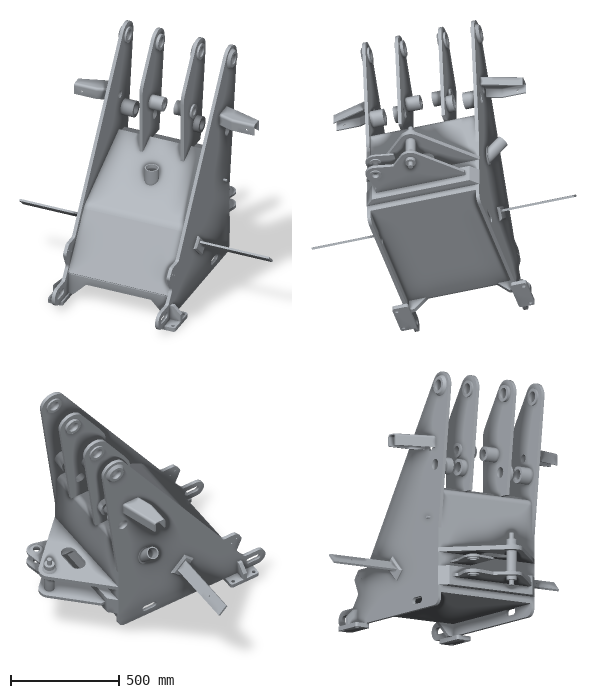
import cadquery as cq
import math

PLATE = 16.0
SHEET = 20.0
FOOT_TOP = SHEET
SIDE_INNER = 254.0
SIDE_OUTER = SIDE_INNER + PLATE
RIB_INNER = 96.0
RIB_OUTER = RIB_INNER + PLATE

EYE_Y, EYE_Z = 18.0, 1046.0
EYE_R = 65.0
EYE_BOSS_R = 39.0
EYE_WELD_R = 49.0
EYE_HOLE_R = 25.0
EYE_LONG = 14.0
EYE_SHORT = 9.0

BACK_BEND_Z = 382.0
SHOULDER = (-579.0, 279.0)
SHOULDER_R = 19.0
HORN = [(-648.0, 279.0), (-682.0, 239.0), (-650.0, 164.0), (-694.0, 106.0)]
HORN_R = 18.0
TOE_R = 43.0
TOE_Y = -767.0
HEEL_R = 38.0

SLOT_LENGTH, SLOT_HEIGHT = 78.0, 32.0
SLOT_Z = 65.0
SLOT_YS = (-172.0, -743.0)
PIN_HOLES = [(-651.0, 249.0), (-624.0, 231.0)]
PIN_HOLE_R = 4.0

RIB_FRONT_Y = -167.0
RIB_BOTTOM_Z = 552.0
RIB_BEND_R = 95.0

PIVOT_Y, PIVOT_Z = -27.0, 681.0
PIVOT_R, PIVOT_HOLE_R = 39.0, 25.0
PIVOT_SIDE_LENGTH = 62.0
PIVOT_RIB_LENGTH = 30.0
LINK_Y, LINK_Z = -67.0, 770.0
LINK_R, LINK_HOLE_R = 34.0, 19.0
LINK_LONG, LINK_SHORT = 66.0, 9.0

SHEET_TOP = (-82.0, 589.0)
SHEET_BEND = (-470.0, 397.0)
SHEET_END = (-658.0, 134.0)
SHEET_BEND_R = 76.0
SHEET_SLOPE = (SHEET_TOP[1] - SHEET_BEND[1]) / (SHEET_TOP[0] - SHEET_BEND[0])
WALL_TOP_Z = 569.0
WALL_FLANGE_Y = -88.0
WALL_BEND_R = 29.0
FLOOR_Z = 78.0
FLOOR_FRONT_Y = -640.0

FILLER_Y, FILLER_TOP_Z = -278.0, 552.0
FILLER_R, FILLER_BORE_R = 33.0, 28.0

FOOT_X_IN, FOOT_X_OUT = 246.0, 323.0
FOOT_Y_BACK, FOOT_Y_FRONT = -589.0, -742.0
FOOT_CORNER_R = 11.0
FOOT_HOLE_X = 306.0
FOOT_HOLE_YS = (-609.0, -723.0)
FOOT_HOLE_R = 9.0
CROSS_FRONT_Y = -655.0
CROSS_TOP, CROSS_ARCH = 125.0, 87.0
CROSS_LEG_X, CROSS_ARCH_X = 229.0, 164.0
WING_TOP, WING_SIDE_Z = 94.0, 54.0
WING_TOP_X = 285.0

BRACKET_TOP, BRACKET_BOTTOM = 818.0, 762.0
BRACKET_END_X = 456.0
BRACKET_BEND_X = 342.0
BRACKET_ROOT_BACK_Y, BRACKET_END_BACK_Y = -24.0, -81.0
BRACKET_FRONT_Y, BRACKET_ROOT_FRONT_Y = -139.0, -116.0
BRACKET_WALL = 6.0
BRACKET_EDGE_R = 13.0
BRACKET_HOLE = (417.0, 783.0)
BRACKET_HOLE_R = 5.0

BAR_END_X = 632.0
BAR_Y, BAR_Z = -344.0, 249.0
BAR_WIDTH, BAR_THICK = 58.0, 10.0
BAR_HOLE_X, BAR_HOLE_R = 520.0, 4.0
PAD_Y, PAD_Z = -350.0, 239.0
PAD_LENGTH, PAD_WIDTH, PAD_HEIGHT = 107.0, 65.0, 13.0
PAD_BEVEL = 8.0

SPOUT_Y = -144.0
SPOUT_END = (-341.0, 492.0)
SPOUT_TILT = 47.0
SPOUT_R, SPOUT_BORE_R = 29.0, 24.0
SPOUT_WELD_R, SPOUT_WELD = 35.0, 6.0
STUD_Y, STUD_Z = -70.0, 438.0
STUD_R, STUD_LENGTH = 6.0, 18.0

HITCH_Y = 205.0
HITCH_R = 50.0
HITCH_ROOT = 272.0
UPPER_Z, UPPER_THICK = 267.0, 20.0
LOWER_Z, LOWER_THICK = 148.0, 15.0
LOWER_HALF_WIDTH = 215.0
WINDOW_LENGTH, WINDOW_WIDTH, WINDOW_Y = 152.0, 72.0, 73.0
BLOCK_DEPTH, BLOCK_BOTTOM, BLOCK_TOP = 38.0, 111.0, 201.0
TUBE_R, TUBE_BOTTOM, TUBE_TOP = 24.0, 130.0, 321.0
TUBE_WELD_HEIGHT = 11.0
WELD_WIDTH = 9.0
STUB_R, STUB_BOTTOM, STUB_TOP = 11.0, 106.0, 351.0
LUG_X, LUG_Y = 183.0, 158.0
LUG_ROOT_SIDE = (205.0, 66.0)
LUG_ROOT_TOP = (88.0, 187.0)
LUG_R, LUG_BOSS_R, LUG_HOLE_R = 45.0, 28.0, 16.0
LUG_BOSS_HEIGHT = 23.0
LUG_THIN_Z, LUG_THIN_THICK = 221.0, 10.0
LUG_LOWER_BOSS_Z = 142.0


def tangent_point(point, centre, radius, side):
    """Touching point on a circle of the line from an outside point (side +1 or -1)."""
    dx, dy = point[0] - centre[0], point[1] - centre[1]
    angle = math.atan2(dy, dx) + side * math.acos(radius / math.hypot(dx, dy))
    return centre[0] + radius * math.cos(angle), centre[1] + radius * math.sin(angle)


def box(x0, x1, y0, y1, z0, z1):
    return cq.Workplane("XY").box(x1 - x0, y1 - y0, z1 - z0, centered=False).translate((x0, y0, z0))


def rod_x(x0, x1, y, z, radius):
    return cq.Workplane("YZ", origin=(x0, y, z)).circle(radius).extrude(x1 - x0)


def rod_z(x, y, z0, z1, radius):
    return cq.Workplane("XY", origin=(x, y, z0)).circle(radius).extrude(z1 - z0)


def mirrored(solid):
    return solid.union(solid.mirror("YZ"))


EYE = (EYE_Y, EYE_Z)
EYE_TOP = (EYE_Y, EYE_Z + EYE_R)
BACK_TANGENT = tangent_point((0, BACK_BEND_Z), EYE, EYE_R, 1)
FRONT_TANGENT = tangent_point(SHOULDER, EYE, EYE_R, -1)
FRONT_SLOPE = (FRONT_TANGENT[1] - SHOULDER[1]) / (FRONT_TANGENT[0] - SHOULDER[0])


def corner(y, z):
    """Selector of the X-parallel edge of a plate at (y, z)."""
    near = 0.6
    low = (-2 * BAR_END_X, y - near, z - near)
    high = (2 * BAR_END_X, y + near, z + near)
    return cq.selectors.BoxSelector(low, high)


def side_plate():
    outline = cq.Workplane("YZ", origin=(SIDE_INNER, 0, 0)).moveTo(0, FOOT_TOP)
    outline = outline.lineTo(0, BACK_BEND_Z).lineTo(*BACK_TANGENT)
    outline = outline.threePointArc(EYE_TOP, FRONT_TANGENT).lineTo(*SHOULDER)
    for point in HORN:
        outline = outline.lineTo(*point)
    outline = outline.lineTo(TOE_Y, FOOT_TOP + 2 * TOE_R)
    outline = outline.threePointArc((TOE_Y - TOE_R, FOOT_TOP + TOE_R), (TOE_Y, FOOT_TOP))
    plate = outline.close().extrude(PLATE)
    plate = plate.edges(corner(0, FOOT_TOP)).fillet(HEEL_R)
    plate = plate.edges(corner(*SHOULDER)).fillet(SHOULDER_R)
    for point in HORN:
        plate = plate.edges(corner(*point)).fillet(HORN_R)
    slots = cq.Workplane("YZ").pushPoints([(y, SLOT_Z) for y in SLOT_YS])
    plate = plate.cut(slots.slot2D(SLOT_LENGTH, SLOT_HEIGHT).extrude(BAR_END_X))
    return plate.cut(cq.Workplane("YZ").pushPoints(PIN_HOLES).circle(PIN_HOLE_R).extrude(BAR_END_X))


def inner_plate():
    bend_z = SHOULDER[1] + FRONT_SLOPE * (RIB_FRONT_Y - SHOULDER[0])
    lean = BACK_TANGENT[0] / (BACK_TANGENT[1] - BACK_BEND_Z)
    back_y = lean * (WALL_TOP_Z - BACK_BEND_Z)
    outline = cq.Workplane("YZ", origin=(RIB_INNER, 0, 0)).moveTo(RIB_FRONT_Y, RIB_BOTTOM_Z)
    outline = outline.lineTo(RIB_FRONT_Y, bend_z).lineTo(*FRONT_TANGENT)
    outline = outline.threePointArc(EYE_TOP, BACK_TANGENT).lineTo(back_y, WALL_TOP_Z)
    outline = outline.lineTo(WALL_FLANGE_Y, WALL_TOP_Z)
    plate = outline.close().extrude(PLATE)
    return plate.edges(corner(RIB_FRONT_Y, bend_z)).fillet(RIB_BEND_R)


def eye_bosses():
    side = rod_x(SIDE_INNER - EYE_SHORT, SIDE_OUTER + EYE_LONG, EYE_Y, EYE_Z, EYE_BOSS_R)
    return side.union(rod_x(RIB_INNER - EYE_LONG, RIB_OUTER + EYE_SHORT, EYE_Y, EYE_Z, EYE_BOSS_R))


def eye_weld():
    base = cq.Workplane("YZ", origin=(SIDE_OUTER, EYE_Y, EYE_Z)).circle(EYE_WELD_R)
    return base.workplane(offset=EYE_LONG).circle(EYE_BOSS_R).loft()


def cross_pin_bosses():
    bosses = rod_x(SIDE_INNER - PIVOT_SIDE_LENGTH, SIDE_INNER, PIVOT_Y, PIVOT_Z, PIVOT_R)
    bosses = bosses.union(rod_x(RIB_OUTER, RIB_OUTER + PIVOT_RIB_LENGTH, PIVOT_Y, PIVOT_Z, PIVOT_R))
    link = rod_x(RIB_INNER - LINK_LONG, RIB_OUTER + LINK_SHORT, LINK_Y, LINK_Z, LINK_R)
    return bosses.union(link)


def below(start, end, point, depth):
    """The point moved by depth at right angles below the line from start to end."""
    dy, dz = end[0] - start[0], end[1] - start[1]
    length = math.hypot(dy, dz)
    return point[0] - dz / length * depth, point[1] + dy / length * depth


def hopper_sheet():
    upper_angle = math.atan(SHEET_SLOPE)
    lower_angle = math.atan2(SHEET_BEND[1] - SHEET_END[1], SHEET_BEND[0] - SHEET_END[0])
    mid_angle = (upper_angle + lower_angle) / 2
    mitre = SHEET / math.cos((lower_angle - upper_angle) / 2)
    bend_below = (SHEET_BEND[0] + mitre * math.sin(mid_angle), SHEET_BEND[1] - mitre * math.cos(mid_angle))
    top_below = below(SHEET_TOP, SHEET_BEND, SHEET_TOP, SHEET)
    end_below = below(SHEET_BEND, SHEET_END, SHEET_END, SHEET)
    points = [SHEET_TOP, SHEET_BEND, SHEET_END, end_below, bend_below, top_below]
    sheet = cq.Workplane("YZ", origin=(-SIDE_INNER, 0, 0)).polyline(points).close().extrude(2 * SIDE_INNER)
    sheet = sheet.edges(corner(*SHEET_BEND)).fillet(SHEET_BEND_R)
    return sheet.edges(corner(*bend_below)).fillet(SHEET_BEND_R - SHEET)


def back_wall():
    wall = box(-SIDE_INNER, SIDE_INNER, WALL_FLANGE_Y, 0, FLOOR_Z, WALL_TOP_Z)
    wall = wall.edges(corner(0, WALL_TOP_Z)).fillet(WALL_BEND_R)
    hollow = box(-SIDE_INNER, SIDE_INNER, WALL_FLANGE_Y, -SHEET, FLOOR_Z, WALL_TOP_Z - SHEET)
    hollow = hollow.edges(corner(-SHEET, WALL_TOP_Z - SHEET)).fillet(WALL_BEND_R - SHEET)
    return wall.cut(hollow)


def floor_plate():
    return box(-SIDE_INNER, SIDE_INNER, FLOOR_FRONT_Y, 0, FLOOR_Z, FLOOR_Z + SHEET)


def filler_pipe():
    sheet_z = SHEET_TOP[1] + SHEET_SLOPE * (FILLER_Y - SHEET_TOP[0])
    return rod_z(0, FILLER_Y, sheet_z - FILLER_R, FILLER_TOP_Z, FILLER_R)


def foot():
    plate = box(FOOT_X_IN, FOOT_X_OUT, FOOT_Y_FRONT, FOOT_Y_BACK, 0, FOOT_TOP)
    plate = plate.edges("|Z").fillet(FOOT_CORNER_R)
    for y in FOOT_HOLE_YS:
        plate = plate.cut(rod_z(FOOT_HOLE_X, y, 0, FOOT_TOP, FOOT_HOLE_R))
    return plate


def cross_plate():
    """Half of the arched plate between the side plates."""
    outline = [(0, CROSS_TOP), (SIDE_INNER, CROSS_TOP), (SIDE_INNER, FOOT_TOP), (CROSS_LEG_X, FOOT_TOP),
               (CROSS_ARCH_X, CROSS_ARCH), (0, CROSS_ARCH)]
    back_plane = cq.Workplane("XZ", origin=(0, CROSS_FRONT_Y + SHEET, 0))
    return back_plane.polyline(outline).close().extrude(SHEET)


def foot_wing():
    outline = [(SIDE_OUTER, FOOT_TOP), (SIDE_OUTER, WING_TOP), (WING_TOP_X, WING_TOP),
               (FOOT_X_OUT, WING_SIDE_Z), (FOOT_X_OUT, FOOT_TOP)]
    back_plane = cq.Workplane("XZ", origin=(0, CROSS_FRONT_Y, 0))
    return back_plane.polyline(outline).close().extrude(SHEET)


def bracket():
    outer = [(SIDE_OUTER, BRACKET_ROOT_BACK_Y), (BRACKET_END_X, BRACKET_END_BACK_Y),
             (BRACKET_END_X, BRACKET_FRONT_Y), (BRACKET_BEND_X, BRACKET_FRONT_Y),
             (SIDE_OUTER, BRACKET_ROOT_FRONT_Y)]
    height = BRACKET_TOP - BRACKET_BOTTOM
    body = cq.Workplane("XY", origin=(0, 0, BRACKET_BOTTOM)).polyline(outer).close().extrude(height)
    body = body.edges(">Z").edges("not |Y").fillet(BRACKET_EDGE_R)
    channel = body.faces("<Z or >X or <X").shell(-BRACKET_WALL)
    front = cq.Workplane("XZ", origin=(0, BRACKET_FRONT_Y + BRACKET_WALL, 0))
    return channel.cut(front.center(*BRACKET_HOLE).circle(BRACKET_HOLE_R).extrude(BRACKET_WALL))


def bar_frame(x, y, z):
    """Plane facing +X whose local x axis runs up and forward at 45 degrees."""
    return cq.Workplane(cq.Plane(origin=(x, y, z), xDir=(0, -1, 1), normal=(1, 0, 0)))


def step_bar():
    bar = bar_frame(SIDE_OUTER, BAR_Y, BAR_Z).rect(BAR_WIDTH, BAR_THICK).extrude(BAR_END_X - SIDE_OUTER)
    hole = cq.Workplane(cq.Plane(origin=(BAR_HOLE_X, BAR_Y, BAR_Z), xDir=(1, 0, 0), normal=(0, 1, 1)))
    bar = bar.cut(hole.circle(BAR_HOLE_R).extrude(BAR_THICK, both=True))
    pad = bar_frame(SIDE_OUTER, PAD_Y, PAD_Z).rect(PAD_LENGTH, PAD_WIDTH).extrude(PAD_HEIGHT)
    return bar.union(pad.faces(">X").chamfer(PAD_BEVEL))


def spout(radius, end_x=-BAR_END_X):
    """Rod along the spout axis, ending on the side plate's inner face and cut off beyond end_x."""
    tilt = math.radians(SPOUT_TILT)
    axis = (math.cos(tilt), 0, -math.sin(tilt))
    plane = cq.Plane(origin=(SPOUT_END[0], SPOUT_Y, SPOUT_END[1]), xDir=(0, 1, 0), normal=axis)
    rod = cq.Workplane(plane).circle(radius).extrude(SIDE_OUTER)
    return rod.intersect(box(end_x, -SIDE_INNER, -BAR_END_X, BAR_END_X, 0, BAR_END_X))


def hitch_triangle(z, thickness):
    """Triangular plate rounded around the pin, its base on the back wall."""
    touch = tangent_point((HITCH_ROOT, 0), (0, HITCH_Y), HITCH_R, 1)
    outline = cq.Workplane("XY", origin=(0, 0, z)).moveTo(-HITCH_ROOT, 0).lineTo(HITCH_ROOT, 0)
    outline = outline.lineTo(*touch).threePointArc((0, HITCH_Y + HITCH_R), (-touch[0], touch[1]))
    return outline.close().extrude(thickness)


def weld_ring(x, y, z, radius, height):
    """Cone of weld around an upright tube, standing on a plate's top face."""
    base = cq.Workplane("XY", origin=(x, y, z)).circle(radius + WELD_WIDTH)
    return base.workplane(offset=height).circle(radius).loft()


def lug(z, thickness, boss_z):
    """Side lug reaching out past the right edge of the hitch triangle."""
    centre = (LUG_X, LUG_Y)
    low = tangent_point(LUG_ROOT_SIDE, centre, LUG_R, 1)
    high = tangent_point(LUG_ROOT_TOP, centre, LUG_R, -1)
    diagonal = LUG_R / math.sqrt(2)
    outline = cq.Workplane("XY", origin=(0, 0, z)).moveTo(LUG_ROOT_TOP[0], 0)
    outline = outline.lineTo(LUG_ROOT_SIDE[0], 0).lineTo(*LUG_ROOT_SIDE).lineTo(*low)
    outline = outline.threePointArc((LUG_X + diagonal, LUG_Y + diagonal), high)
    plate = outline.lineTo(*LUG_ROOT_TOP).close().extrude(thickness)
    plate = plate.union(rod_z(LUG_X, LUG_Y, boss_z, boss_z + LUG_BOSS_HEIGHT, LUG_BOSS_R))
    weld_height = boss_z + LUG_BOSS_HEIGHT - z - thickness
    plate = plate.union(weld_ring(LUG_X, LUG_Y, z + thickness, LUG_BOSS_R, weld_height))
    return plate.cut(rod_z(LUG_X, LUG_Y, 0, TUBE_TOP, LUG_HOLE_R))


def hitch():
    upper = hitch_triangle(UPPER_Z, UPPER_THICK)
    window = cq.Workplane("XY", origin=(0, WINDOW_Y, UPPER_Z)).slot2D(WINDOW_LENGTH, WINDOW_WIDTH)
    upper = upper.cut(window.extrude(UPPER_THICK))
    lower = hitch_triangle(LOWER_Z, LOWER_THICK)
    squared = box(-LOWER_HALF_WIDTH, LOWER_HALF_WIDTH, 0, HITCH_Y + HITCH_R, 0, TUBE_TOP)
    lower = lower.intersect(squared)
    block = hitch_triangle(BLOCK_BOTTOM, BLOCK_TOP - BLOCK_BOTTOM)
    block = block.intersect(box(-HITCH_ROOT, HITCH_ROOT, 0, BLOCK_DEPTH, 0, TUBE_TOP))
    thin_boss_z = LUG_THIN_Z + (LUG_THIN_THICK - LUG_BOSS_HEIGHT) / 2
    parts = upper.union(lower).union(block)
    parts = parts.union(lug(LUG_THIN_Z, LUG_THIN_THICK, thin_boss_z))
    parts = parts.union(lug(LOWER_Z, LOWER_THICK, LUG_LOWER_BOSS_Z))
    parts = parts.union(rod_z(0, HITCH_Y, TUBE_BOTTOM, TUBE_TOP, TUBE_R))
    parts = parts.union(weld_ring(0, HITCH_Y, UPPER_Z + UPPER_THICK, TUBE_R, TUBE_WELD_HEIGHT))
    return parts.union(rod_z(0, HITCH_Y, STUB_BOTTOM, STUB_TOP, STUB_R))


half = side_plate().union(inner_plate())
half = half.union(eye_bosses()).union(eye_weld()).union(cross_pin_bosses())
half = half.union(foot()).union(foot_wing()).union(cross_plate()).union(step_bar())

frame = mirrored(half).union(hopper_sheet()).union(back_wall()).union(floor_plate())
frame = frame.union(filler_pipe())
frame = frame.cut(rod_z(0, FILLER_Y, FLOOR_Z + SHEET, FILLER_TOP_Z, FILLER_BORE_R))
spout_weld = spout(SPOUT_WELD_R, -SIDE_OUTER - SPOUT_WELD)
frame = frame.union(spout(SPOUT_R)).union(spout_weld).cut(spout(SPOUT_BORE_R))
frame = frame.union(rod_x(SIDE_OUTER, SIDE_OUTER + STUD_LENGTH, STUD_Y, STUD_Z, STUD_R))

BORES = [(EYE_Y, EYE_Z, EYE_HOLE_R), (PIVOT_Y, PIVOT_Z, PIVOT_HOLE_R), (LINK_Y, LINK_Z, LINK_HOLE_R)]
for y, z, radius in BORES:
    frame = frame.cut(rod_x(-BAR_END_X, BAR_END_X, y, z, radius))

result = frame.union(mirrored(bracket())).union(hitch())